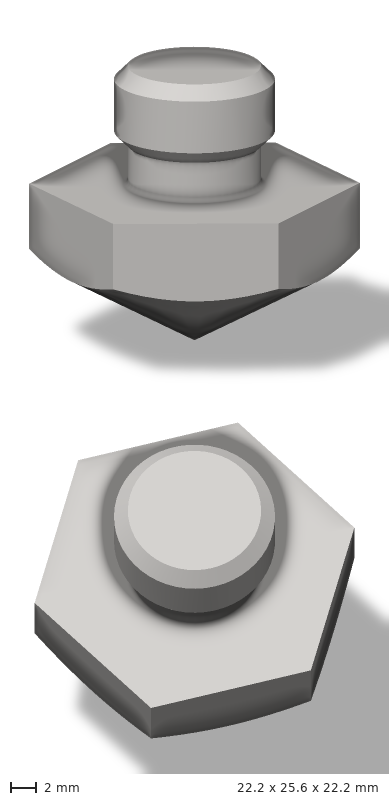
import cadquery as cq
import math

corner_diameter = 25.65
point_angle = 120.0
head_top = 12.7

stud_height = 9.52
stud_diameter = 12.5
stud_radius = stud_diameter / 2
chamfer = 1.08
neck_radius = stud_radius - chamfer
neck_height = 3.18
neck_fillet = 0.38


def make_head():
    """Hexagonal prism, corners along Y, cut to a cone with its tip at the origin."""
    prism = (
        cq.Workplane("XY")
        .polygon(6, corner_diameter)
        .extrude(head_top)
        .rotate((0, 0, 0), (0, 0, 1), 90)
    )
    cone_radius = head_top * math.tan(math.radians(point_angle / 2))
    cone = (
        cq.Workplane("XZ")
        .polyline([(0, 0), (cone_radius, head_top), (0, head_top)])
        .close()
        .revolve(360, (0, 0), (0, 1))
    )
    return prism.intersect(cone)


def make_stud():
    """Chamfered collar on a narrower neck, flared by a fillet where it meets the head."""
    stud_top = head_top + stud_height
    neck_top = head_top + neck_height
    arc_offset = neck_fillet * (1 - math.sqrt(0.5))
    return (
        cq.Workplane("XZ")
        .moveTo(0, head_top)
        .lineTo(neck_radius + neck_fillet, head_top)
        .threePointArc(
            (neck_radius + arc_offset, head_top + arc_offset),
            (neck_radius, head_top + neck_fillet),
        )
        .lineTo(neck_radius, neck_top)
        .lineTo(stud_radius, neck_top + chamfer)
        .lineTo(stud_radius, stud_top - chamfer)
        .lineTo(stud_radius - chamfer, stud_top)
        .lineTo(0, stud_top)
        .close()
        .revolve(360, (0, 0), (0, 1))
    )


result = make_head().union(make_stud())